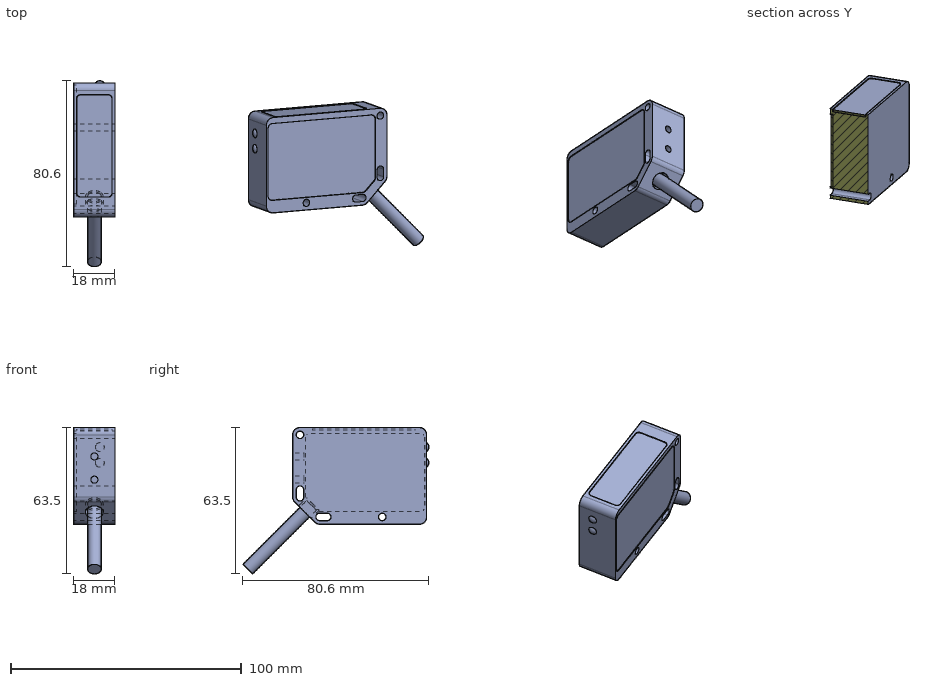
import cadquery as cq
import math


HOUSING_WIDTH = 18.0
HOUSING_LENGTH = 58.15
HOUSING_HEIGHT = 42.0
CORNER_CUT = 10.6
CORNER_RADIUS = 3.2

MOUNT_DIAMETER = 3.15
MOUNT_INSET = 3.2
MOUNT_PITCH_Y = 35.65
MOUNT_PITCH_Z = 35.6
SLOT_LENGTH = 6.45
SLOT_OFFSET = 13.4

FRONT_HOLE_DIAMETER = 3.1
FRONT_HOLE_DEPTH = 5.0
FRONT_HOLE_DROPS = (12.6, 22.7)

COVER_INSET_FRONT = 5.6
COVER_INSET_BACK = 0.8
COVER_INSET_TOP = 2.6
COVER_INSET_BOTTOM = 5.6
COVER_CORNER_CUT = 5.3
COVER_RADIUS = 2.0

PANEL_GAP = 0.1
PANEL_THICKNESS = 1.0
PANEL_RECESS = 0.25
POCKET_DEPTH = PANEL_THICKNESS + PANEL_RECESS

WINDOW_WIDTH = 15.4
WINDOW_RADIUS = 1.8
WINDOW_INSET_FRONT = 8.6
WINDOW_INSET_BACK = 5.1
WINDOW_LENGTH = HOUSING_LENGTH - WINDOW_INSET_FRONT - WINDOW_INSET_BACK
WINDOW_CENTRE_Y = WINDOW_INSET_FRONT + WINDOW_LENGTH / 2

CABLE_DIAMETER = 6.0
CABLE_REACH = 34.9
CABLE_HOLE_DIAMETER = 7.7
CABLE_HOLE_DEPTH = 5.0

BUTTON_DIAMETER = 3.9
BUTTON_HEIGHT = 1.0
BUTTON_X = 2.3
BUTTON_DROPS = (8.55, 15.3)


def cut_corner_block(x_start, depth, y_min, y_max, z_min, z_max, corner_cut, radius):
    """Slab along +X with a 45 degree cut at its lower front corner and every edge along X rounded."""
    outline = [
        (y_min + corner_cut, z_min),
        (y_max, z_min),
        (y_max, z_max),
        (y_min, z_max),
        (y_min, z_min + corner_cut),
    ]
    block = cq.Workplane("YZ", origin=(x_start, 0, 0)).polyline(outline).close().extrude(depth)
    return block.edges("|X").fillet(radius)


def cover_block(x_start, depth, gap):
    """Side cover pocket outline shrunk by a gap, from x_start inward."""
    corner_cut = COVER_CORNER_CUT - gap * (2 - math.sqrt(2))
    return cut_corner_block(
        x_start, depth,
        COVER_INSET_FRONT + gap, HOUSING_LENGTH - COVER_INSET_BACK - gap,
        COVER_INSET_BOTTOM + gap, HOUSING_HEIGHT - COVER_INSET_TOP - gap,
        corner_cut, COVER_RADIUS - gap,
    )


def window_block(depth, gap):
    """Window pocket outline shrunk by a gap, from the pocket floor upward."""
    floor = cq.Workplane("XY", origin=(0, WINDOW_CENTRE_Y, HOUSING_HEIGHT - POCKET_DEPTH))
    block = floor.rect(WINDOW_WIDTH - 2 * gap, WINDOW_LENGTH - 2 * gap).extrude(depth)
    return block.edges("|Z").fillet(WINDOW_RADIUS - gap)


def cable_rod(diameter, depth, reach):
    """Rod through the middle of the corner cut: depth goes inward and reach outward."""
    outward = cq.Vector(0, -math.sqrt(0.5), -math.sqrt(0.5))
    start = cq.Vector(0, CORNER_CUT / 2, CORNER_CUT / 2) - outward * depth
    plane = cq.Plane(origin=start, xDir=(1, 0, 0), normal=outward)
    return cq.Workplane(plane).circle(diameter / 2).extrude(depth + reach)


def slot_cutter(y, z, angle):
    """Slot through the full width, turned by an angle from the Y direction."""
    side = cq.Workplane("YZ", origin=(-HOUSING_WIDTH / 2, y, z))
    return side.slot2D(SLOT_LENGTH, MOUNT_DIAMETER, angle).extrude(HOUSING_WIDTH)


def mounting_cutter():
    """Two round holes and two slots through the full width."""
    hole_centres = [
        (MOUNT_INSET, MOUNT_INSET + MOUNT_PITCH_Z),
        (MOUNT_INSET + MOUNT_PITCH_Y, MOUNT_INSET),
    ]
    side = cq.Workplane("YZ", origin=(-HOUSING_WIDTH / 2, 0, 0))
    holes = side.pushPoints(hole_centres).circle(MOUNT_DIAMETER / 2).extrude(HOUSING_WIDTH)
    flat_slot = slot_cutter(SLOT_OFFSET, MOUNT_INSET, 0)
    upright_slot = slot_cutter(MOUNT_INSET, SLOT_OFFSET, 90)
    return holes.union(flat_slot).union(upright_slot)


def front_hole_cutter():
    """Blind holes running back from the front face."""
    centres = [(0, HOUSING_HEIGHT - drop) for drop in FRONT_HOLE_DROPS]
    return cq.Workplane("XZ").pushPoints(centres).circle(FRONT_HOLE_DIAMETER / 2).extrude(-FRONT_HOLE_DEPTH)


def make_housing():
    housing = cut_corner_block(
        -HOUSING_WIDTH / 2, HOUSING_WIDTH, 0, HOUSING_LENGTH, 0, HOUSING_HEIGHT, CORNER_CUT, CORNER_RADIUS
    )
    housing = housing.cut(cover_block(-HOUSING_WIDTH / 2, POCKET_DEPTH, 0))
    housing = housing.cut(window_block(POCKET_DEPTH, 0))
    housing = housing.cut(mounting_cutter())
    housing = housing.cut(front_hole_cutter())
    return housing.cut(cable_rod(CABLE_HOLE_DIAMETER, CABLE_HOLE_DEPTH, 0))


def make_side_cover():
    return cover_block(-HOUSING_WIDTH / 2 + PANEL_RECESS, PANEL_THICKNESS, PANEL_GAP)


def make_window():
    return window_block(PANEL_THICKNESS, PANEL_GAP)


def make_cable():
    """Cable from the floor of its hole to its free end."""
    return cable_rod(CABLE_DIAMETER, CABLE_HOLE_DEPTH, CABLE_REACH)


def make_button(drop):
    """Spherical cap on the back face, turned about its own axis along Y."""
    base_radius = BUTTON_DIAMETER / 2
    sphere_radius = (base_radius**2 + BUTTON_HEIGHT**2) / (2 * BUTTON_HEIGHT)
    half_profile = (
        cq.Workplane("XY", origin=(BUTTON_X, HOUSING_LENGTH, HOUSING_HEIGHT - drop))
        .lineTo(base_radius, 0)
        .radiusArc((0, BUTTON_HEIGHT), -sphere_radius)
        .close()
    )
    return half_profile.revolve(360, (0, 0, 0), (0, 1, 0))


housing = make_housing()
side_cover = make_side_cover()
window = make_window()
cable = make_cable()
buttons = [make_button(drop) for drop in BUTTON_DROPS]

result = cq.Compound.makeCompound([
    housing.val(),
    side_cover.val(),
    window.val(),
    cable.val(),
    *[button.val() for button in buttons],
])